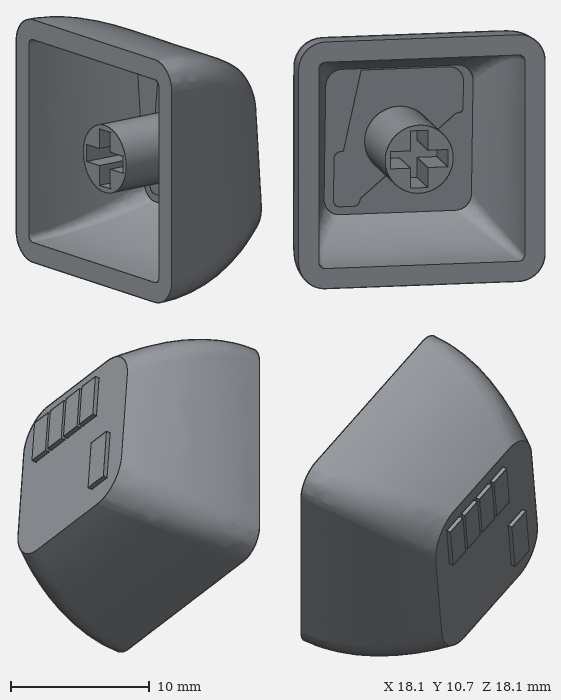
import cadquery as cq
import math

rim_width = 18.1
wall = 1.48
roof_thickness = 1.5
roof_height = 10.08
roof_tilt = 4.0

outer_rim_corner = 1.97
outer_top_half = 6.37
outer_top_corner = 2.73
cavity_rim_half = rim_width / 2 - wall
cavity_rim_corner = outer_rim_corner - wall
cavity_height = roof_height - roof_thickness
cavity_top_half = 5.41
cavity_top_corner = 1.18
loft_sections = 5

stem_diameter = 5.0
stem_recess = 1.0
cross_span = 4.2
cross_arm_width = 1.27
cross_depth = 4.0
plate_thickness = roof_thickness / 2
plate_top = 5.3
plate_bottom = -4.83
plate_left = -4.72
plate_right = 4.7
plate_slant_x = -2.82
plate_step = 1.86
plate_diagonal_start = (4.15, 1.8)
plate_diagonal_end = (-2.68, -4.22)
plate_foot_right = -2.77
plate_shoulder = -0.72
plate_shoulder_x = -4.05
plate_big_round = 1.09
plate_small_round = 0.33
plate_foot_round = 0.49
legend_proud = 0.33
row_pitch = 1.94
row_block_width = 1.67
row_count = 4
row_left = -2.73
row_bottom = 2.0
row_top = 5.34
single_left = -4.67
single_width = 1.88
single_bottom = -4.6
single_top = -0.62


def tilted_plane(height, tilt=roof_tilt):
    """Plane through (0, height, 0), parallel to the roof by default; its normal points to the rim."""
    angle = math.radians(tilt)
    normal = (0, -math.cos(angle), -math.sin(angle))
    return cq.Plane(origin=(0, height, 0), xDir=(1, 0, 0), normal=normal)


def rounded_square(plane, half_side, corner):
    """Closed wire of a square with round corners, centred on the plane's origin."""
    flat = half_side - corner
    diagonal = flat + corner * math.sqrt(0.5)
    outline = (
        cq.Workplane(plane)
        .moveTo(-flat, -half_side)
        .lineTo(flat, -half_side)
        .threePointArc((diagonal, -diagonal), (half_side, -flat))
        .lineTo(half_side, flat)
        .threePointArc((diagonal, diagonal), (flat, half_side))
        .lineTo(-flat, half_side)
        .threePointArc((-diagonal, diagonal), (-half_side, flat))
        .lineTo(-half_side, -flat)
        .threePointArc((-diagonal, -diagonal), (-flat, -half_side))
        .close()
    )
    return outline.val()


def tapered_body(height, rim_half, rim_corner, top_half, top_corner):
    """Loft from the rim to the tilted face at the given height, along parabolas."""
    wires = []
    for index in range(loft_sections):
        fraction = index / (loft_sections - 1)
        progress = fraction**2
        plane = tilted_plane(fraction * height, progress * roof_tilt)
        half_side = rim_half + progress * (top_half - rim_half)
        corner = rim_corner + progress * (top_corner - rim_corner)
        wires.append(rounded_square(plane, half_side, corner))
    return cq.Workplane(cq.Solid.makeLoft(wires))


def make_shell():
    """Hollow key without the openings for the core."""
    outside = tapered_body(
        roof_height, rim_width / 2, outer_rim_corner, outer_top_half, outer_top_corner
    )
    cavity = tapered_body(
        cavity_height, cavity_rim_half, cavity_rim_corner, cavity_top_half, cavity_top_corner
    )
    return outside.cut(cavity)


def make_plate():
    """Plate whose inner face is flush with the cavity ceiling; its outline surrounds the legend."""
    plate = (
        cq.Workplane(tilted_plane(cavity_height))
        .moveTo(plate_slant_x, plate_top)
        .lineTo(plate_right - plate_big_round, plate_top)
        .radiusArc((plate_right, plate_top - plate_big_round), plate_big_round)
        .lineTo(plate_right, plate_step + plate_small_round)
        .radiusArc((plate_right - plate_small_round, plate_step), plate_small_round)
        .lineTo(*plate_diagonal_start)
        .lineTo(*plate_diagonal_end)
        .lineTo(plate_foot_right, plate_bottom + plate_foot_round)
        .radiusArc((plate_foot_right - plate_foot_round, plate_bottom), plate_foot_round)
        .lineTo(plate_left + plate_foot_round, plate_bottom)
        .radiusArc((plate_left, plate_bottom + plate_foot_round), plate_foot_round)
        .lineTo(plate_left, plate_shoulder - plate_foot_round)
        .radiusArc((plate_left + plate_foot_round, plate_shoulder), plate_foot_round)
        .lineTo(plate_shoulder_x, plate_shoulder)
        .close()
    )
    return plate.extrude(-plate_thickness)


def make_stem():
    """Round stem along Y, ending inside the plate, with a cross socket in its free end."""
    end_plane = tilted_plane(stem_recess, 0)
    stem = cq.Workplane(end_plane).circle(stem_diameter / 2).extrude(-rim_width)
    rim_side = (
        cq.Workplane(tilted_plane(cavity_height + plate_thickness))
        .rect(rim_width, rim_width)
        .extrude(rim_width)
    )
    stem = stem.intersect(rim_side)
    for width, height in ((cross_span, cross_arm_width), (cross_arm_width, cross_span)):
        stem = stem.cut(cq.Workplane(end_plane).rect(width, height).extrude(-cross_depth))
    return stem


def legend_block(left, width, bottom, top):
    """Block from the plate through the roof, standing proud of it."""
    return (
        cq.Workplane(tilted_plane(roof_height))
        .workplane(offset=-legend_proud)
        .center(left + width / 2, (bottom + top) / 2)
        .rect(width, top - bottom)
        .extrude(legend_proud + roof_thickness - plate_thickness)
    )


def make_core():
    """Plate, stem and legend blocks as one body."""
    core = make_plate().union(make_stem())
    core = core.union(legend_block(single_left, single_width, single_bottom, single_top))
    for index in range(row_count):
        left = row_left + index * row_pitch
        core = core.union(legend_block(left, row_block_width, row_bottom, row_top))
    return core


core = make_core()
cap = make_shell().cut(core)

result = cq.Compound.makeCompound([cap.solids().val(), core.solids().val()])